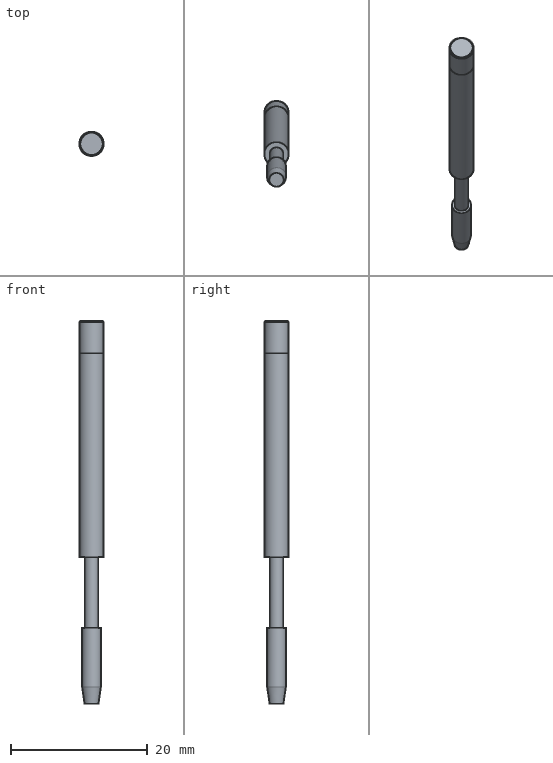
import cadquery as cq

total_length = 56.0
seam_height = 51.25
barrel_bottom = 21.45
tip_top = 11.1
taper_top = 2.5

barrel_diameter = 3.6
rod_diameter = 2.0
tip_diameter = 2.8
tip_end_diameter = 2.1

edge_chamfer = 0.15


def cylinder(diameter, bottom, top):
    """Upright cylinder on the Z axis between two heights."""
    return cq.Workplane("XY").workplane(offset=bottom).circle(diameter / 2).extrude(top - bottom)


def make_cap():
    """Plain end cap, chamfered around its top edge."""
    return cylinder(barrel_diameter, seam_height, total_length).faces(">Z").chamfer(edge_chamfer)


def make_tip():
    """Cylindrical tip that narrows to a flat lower end."""
    taper = (
        cq.Workplane("XY")
        .circle(tip_end_diameter / 2)
        .workplane(offset=taper_top)
        .circle(tip_diameter / 2)
        .loft()
    )
    return taper.union(cylinder(tip_diameter, taper_top, tip_top))


def make_probe():
    """Barrel, thin rod and tip as one turned solid."""
    barrel = cylinder(barrel_diameter, barrel_bottom, seam_height)
    rod = cylinder(rod_diameter, tip_top, barrel_bottom)
    return barrel.union(rod).union(make_tip())


cap = make_cap()
probe = make_probe()

result = cq.Compound.makeCompound([cap.val(), probe.val()])